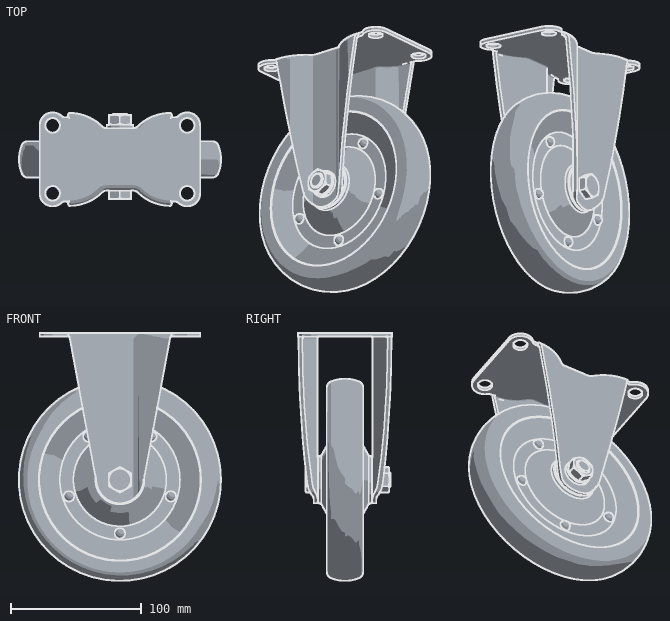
import cadquery as cq
import math


wheel_radius = 77.5
wheel_half_width = 14.0
crown_edge_radius = 75.4
crown_half_width = 10.7
tyre_face_radius = 71.0
rim_radius = 62.2
rim_chamfer = 0.5
web_outer_radius = 46.0
web_inner_radius = 35.6
web_half_thickness = 7.0
hub_cone_radius = 25.4
hub_cone_half_width = 14.4
hub_shoulder_radius = 21.0
hub_shoulder_half_width = 16.9
hub_neck_radius = 18.8
hub_neck_half_width = 18.0
hub_end_radius = 18.0
hub_end_half_width = 20.4
hub_spacer_radius = 17.0
rivet_count = 5
rivet_circle_radius = 41.0
rivet_radius = 4.0
first_rivet_angle = -90.0

total_height = 190.0
plate_top = total_height - wheel_radius
sheet = 3.0
leg_gap = 42.0
bend_radius = 4.2
leg_flat_half_width = 10.25
leg_flat_y = leg_gap / 2 + sheet
leg_valley_radius = 5.0
leg_flare_radius = 35.7
leg_end_radius = 18.0
leg_top_half_width = 38.2
leg_straight_top = plate_top - 5.5
leg_plate_half_width = 40.2

plate_length = 123.0
plate_width = 72.0
corner_radius = 10.0
hole_diameter = 11.0
neck_y = 32.3
neck_fillet = 4.0
hole_x = plate_length / 2 - corner_radius
hole_y = plate_width / 2 - corner_radius

valley_centre_y = leg_flat_y + leg_valley_radius
centre_distance = leg_valley_radius + leg_flare_radius
flare_centre_x = leg_flat_half_width + math.sqrt(centre_distance**2 - valley_centre_y**2)
blank_half_length = flare_centre_x + sheet

bolt_diameter = 12.0
bolt_end_y = 35.0
bolt_end_chamfer = 1.0
hex_across_flats = 17.0
head_height = 6.4
washer_diameter = 2 * leg_flat_half_width
washer_thickness = 2.5
nut_height = 7.5
hex_chamfer_angle = 30.0


def cylinder_along_y(radius, y_start, y_end):
    return cq.Workplane("XZ", origin=(0, y_start, 0)).circle(radius).extrude(y_start - y_end)


def wheel_section():
    """Section of the +Y half of the wheel: X is the radius, Y runs along the axle."""
    crown_height = wheel_radius - crown_edge_radius
    crown_radius = (crown_half_width**2 + crown_height**2) / (2 * crown_height)
    half_angle = math.asin(crown_half_width / crown_radius) / 2
    crown_middle = (
        wheel_radius - crown_radius * (1 - math.cos(half_angle)),
        crown_radius * math.sin(half_angle),
    )
    return (
        cq.Workplane("XY")
        .moveTo(bolt_diameter / 2, 0)
        .lineTo(wheel_radius, 0)
        .threePointArc(crown_middle, (crown_edge_radius, crown_half_width))
        .tangentArcPoint((tyre_face_radius, wheel_half_width), relative=False)
        .lineTo(rim_radius, wheel_half_width)
        .lineTo(rim_radius - rim_chamfer, wheel_half_width - rim_chamfer)
        .lineTo(web_outer_radius, web_half_thickness)
        .lineTo(web_inner_radius, web_half_thickness)
        .lineTo(hub_cone_radius, hub_cone_half_width)
        .lineTo(hub_shoulder_radius, hub_shoulder_half_width)
        .lineTo(hub_neck_radius, hub_neck_half_width)
        .lineTo(hub_end_radius, hub_end_half_width)
        .lineTo(hub_spacer_radius, hub_end_half_width)
        .lineTo(hub_spacer_radius, leg_gap / 2)
        .lineTo(bolt_diameter / 2, leg_gap / 2)
        .close()
    )


def make_wheel():
    """Tyre, dished web and hub in one, with a ring of domed rivets on both sides."""
    half = wheel_section().revolve(360, (0, 0, 0), (0, 1, 0))
    wheel = half.union(half.mirror("XZ"))
    for index in range(rivet_count):
        angle = math.radians(first_rivet_angle + index * 360 / rivet_count)
        x = rivet_circle_radius * math.cos(angle)
        z = rivet_circle_radius * math.sin(angle)
        for side in (-1, 1):
            rivet = cq.Workplane("XY").sphere(rivet_radius)
            wheel = wheel.union(rivet.translate((x, side * web_half_thickness, z)))
    return wheel


def fork_blank(inset, top, edge_radius):
    """Solid block with the legs' outline in plan, inset evenly, with the leg edges rounded at the top."""
    valley = leg_valley_radius + inset
    flare = leg_flare_radius - inset
    lean = math.atan2(flare_centre_x - leg_flat_half_width, valley_centre_y)

    def on_valley(angle):
        return (leg_flat_half_width + valley * math.sin(angle), valley_centre_y - valley * math.cos(angle))

    def on_flare(angle):
        return (flare_centre_x - flare * math.sin(angle), flare * math.cos(angle))

    quarter = (
        cq.Workplane("XY", origin=(0, 0, -leg_end_radius))
        .moveTo(0, 0)
        .lineTo(0, leg_flat_y - inset)
        .lineTo(leg_flat_half_width, leg_flat_y - inset)
        .threePointArc(on_valley(lean / 2), on_valley(lean))
        .threePointArc(on_flare(lean / 2), on_flare(0))
        .lineTo(blank_half_length, flare)
        .lineTo(blank_half_length, 0)
        .close()
        .extrude(top + leg_end_radius)
    )
    half = quarter.union(quarter.mirror("YZ"))
    block = half.union(half.mirror("XZ")).clean()
    top_edges = block.faces(">Z").edges("not(<X or >X)")
    return top_edges.fillet(edge_radius)


def leg_silhouette():
    """Tapered outline of the legs across X, rounded about the axle, as a solid running along Y."""
    slant = math.atan2(leg_straight_top, leg_top_half_width)
    reach = math.hypot(leg_top_half_width, leg_straight_top)
    tangent_angle = slant - math.acos(leg_end_radius / reach)
    tangent_x = leg_end_radius * math.cos(tangent_angle)
    tangent_z = leg_end_radius * math.sin(tangent_angle)
    arc_middle = (math.pi / 2 + tangent_angle) / 2
    half = (
        cq.Workplane("XZ")
        .moveTo(0, plate_top)
        .lineTo(0, -leg_end_radius)
        .threePointArc(
            (leg_end_radius * math.sin(arc_middle), -leg_end_radius * math.cos(arc_middle)),
            (tangent_x, tangent_z),
        )
        .lineTo(leg_top_half_width, leg_straight_top)
        .tangentArcPoint((leg_plate_half_width, plate_top), relative=False)
        .close()
        .extrude(plate_width, both=True)
    )
    return half.union(half.mirror("YZ"))


def plate_end():
    """The +X end of the plate: two holed lobes joined to the legs by a narrower neck."""
    fillet_x = hole_x - math.sqrt((corner_radius + neck_fillet)**2 - (neck_y + neck_fillet - hole_y)**2)
    share = corner_radius / (corner_radius + neck_fillet)
    lobe_x = hole_x + (fillet_x - hole_x) * share
    lobe_y = hole_y + (neck_y + neck_fillet - hole_y) * share
    half = (
        cq.Workplane("XY", origin=(0, 0, plate_top - sheet))
        .moveTo(flare_centre_x, 0)
        .lineTo(flare_centre_x, neck_y)
        .lineTo(fillet_x, neck_y)
        .tangentArcPoint((lobe_x, lobe_y), relative=False)
        .tangentArcPoint((plate_length / 2, hole_y), relative=False)
        .lineTo(plate_length / 2, 0)
        .close()
        .extrude(sheet)
    )
    return half.union(half.mirror("XZ"))


def make_fork():
    """Plate and legs hollowed to sheet thickness, then trimmed, extended and drilled."""
    shell = fork_blank(0, plate_top, bend_radius).cut(
        fork_blank(sheet, plate_top - sheet, bend_radius - sheet)
    )
    end = plate_end()
    fork = shell.intersect(leg_silhouette()).union(end).union(end.mirror("YZ")).clean()
    holes = (
        cq.Workplane("XY", origin=(0, 0, plate_top))
        .rect(2 * hole_x, 2 * hole_y, forConstruction=True)
        .vertices()
        .circle(hole_diameter / 2)
        .extrude(-sheet)
    )
    axle_bore = cylinder_along_y(bolt_diameter / 2, -plate_width, plate_width)
    return fork.cut(holes).cut(axle_bore)


def chamfered_hex(height):
    """Hexagon reaching from the XZ plane to +Y, corners up and down, its outer end turned to a cone."""
    corner_reach = hex_across_flats / math.sqrt(3)
    flat_reach = hex_across_flats / 2
    drop = (corner_reach - flat_reach) * math.tan(math.radians(hex_chamfer_angle))
    hexagon = cq.Workplane("XZ").polygon(6, 2 * corner_reach).extrude(-height)
    corner_up = hexagon.rotate((0, 0, 0), (0, 1, 0), 90)
    turned = (
        cq.Workplane("XY")
        .moveTo(0, 0)
        .lineTo(corner_reach, 0)
        .lineTo(corner_reach, height - drop)
        .lineTo(flat_reach, height)
        .lineTo(0, height)
        .close()
        .revolve(360, (0, 0, 0), (0, 1, 0))
    )
    return corner_up.intersect(turned)


def make_axle():
    """Bolt through the wheel and both legs, its head at -Y, with the washer and nut at +Y."""
    nut_y = leg_flat_y + washer_thickness
    shank = cylinder_along_y(bolt_diameter / 2, -leg_flat_y, bolt_end_y)
    shank = shank.faces(">Y").chamfer(bolt_end_chamfer)
    head = chamfered_hex(head_height).mirror("XZ").translate((0, -leg_flat_y, 0))
    washer = cylinder_along_y(washer_diameter / 2, leg_flat_y, nut_y)
    outer_end = chamfered_hex(nut_height)
    inner_end = outer_end.mirror("XZ").translate((0, nut_height, 0))
    nut = outer_end.intersect(inner_end).translate((0, nut_y, 0))
    return shank.union(head).union(washer).union(nut)


wheel = make_wheel()
fork = make_fork()
axle = make_axle()
result = cq.Compound.makeCompound([fork.val(), wheel.val(), axle.val()])